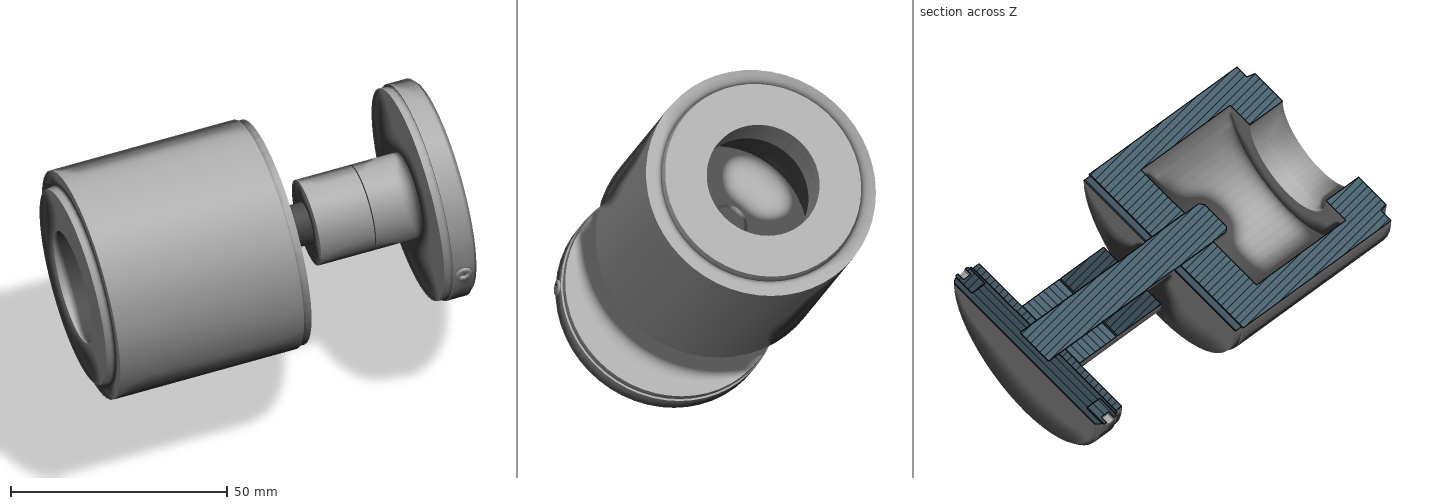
import cadquery as cq


length = 90.0
flange_thickness = 6.0
gasket_thickness = 2.0
collar_length = 2.0
drum_length = 45.0
rear_bushing_length = 11.3
bushing_gap = 0.3
front_bushing_length = 13.2

drum_diameter = 55.0
flange_diameter = 52.0
gasket_inset = 0.495
collar_base_diameter = 48.0
collar_tip_diameter = 46.9
bushing_diameter = 20.5
rod_diameter = 10.0

mouth_diameter = 27.0
mouth_depth = 10.0
cavity_diameter = 41.0
floor_thickness = 10.0

flange_chamfer = 1.0
rod_chamfer = 1.0
rod_overhang = 5.0
rod_seat_depth = 3.0
screw_diameter = 3.9
screw_length = 6.0
screw_sides = (-1, 1)
screw_overhang = 0.5
screw_chamfer = 0.225
socket_diameter = 2.3
socket_turn = -15
socket_sides = 6
socket_depth = 2.0

drum_front = collar_length
drum_back = drum_front + drum_length
cavity_back = drum_back - floor_thickness
flange_front = length - flange_thickness
flange_gasket_front = flange_front - gasket_thickness
rear_bushing_front = flange_gasket_front - rear_bushing_length
front_bushing_back = rear_bushing_front - bushing_gap
rod_front = cavity_back - rod_overhang
rod_back = flange_front + rod_seat_depth
screw_y = flange_front + (flange_thickness - flange_chamfer) / 2


def cylinder(diameter, start, end):
    """Cylinder about the Y axis from y = start to y = end."""
    return cq.Workplane("XZ", origin=(0, start, 0)).circle(diameter / 2).extrude(start - end)


def sleeve(diameter, start, thickness):
    """Disc or bushing with a hole that fits the rod."""
    end = start + thickness
    return cylinder(diameter, start, end).cut(cylinder(rod_diameter, start, end))


def make_drum():
    """Knob with a tapered front collar, an undercut cavity and a hole for the rod in its floor."""
    outline = [
        (0, 0),
        (collar_tip_diameter / 2, 0),
        (collar_base_diameter / 2, drum_front),
        (drum_diameter / 2, drum_front),
        (drum_diameter / 2, drum_back),
        (0, drum_back),
    ]
    drum = cq.Workplane("XY").polyline(outline).close().revolve(360, (0, 0, 0), (0, 1, 0))
    mouth = cylinder(mouth_diameter, 0, mouth_depth)
    cavity = cylinder(cavity_diameter, mouth_depth, cavity_back)
    rod_hole = cylinder(rod_diameter, cavity_back, drum_back)
    return drum.cut(mouth).cut(cavity).cut(rod_hole)


def make_rod():
    """Rod from the flange to the knob's cavity, chamfered at its free end."""
    return cylinder(rod_diameter, rod_front, rod_back).faces("<Y").chamfer(rod_chamfer)


def screw_blank(side):
    """Plain set screw body along X; side is -1 or +1."""
    tip_x = side * (flange_diameter / 2 + screw_overhang - screw_length)
    return (
        cq.Workplane("YZ", origin=(tip_x, screw_y, 0))
        .circle(screw_diameter / 2)
        .extrude(side * screw_length)
    )


def make_screw(side):
    """Set screw with a chamfered outer end and a hexagon socket in it."""
    head_x = side * (flange_diameter / 2 + screw_overhang)
    socket = (
        cq.Workplane("YZ", origin=(head_x, screw_y, 0))
        .transformed(rotate=(0, 0, socket_turn))
        .polygon(socket_sides, socket_diameter)
        .extrude(-side * socket_depth)
    )
    outer_end = ">X" if side > 0 else "<X"
    return screw_blank(side).faces(outer_end).chamfer(screw_chamfer).cut(socket)


def make_flange():
    """Disc with a chamfered back edge, a blind rod seat and two radial screw holes."""
    flange = cylinder(flange_diameter, flange_front, length).faces(">Y").chamfer(flange_chamfer)
    flange = flange.cut(cylinder(rod_diameter, flange_front, rod_back))
    for side in screw_sides:
        flange = flange.cut(screw_blank(side))
    return flange


drum = make_drum()
drum_gasket = sleeve(drum_diameter - 2 * gasket_inset, drum_back, gasket_thickness)
front_bushing = sleeve(bushing_diameter, front_bushing_back - front_bushing_length, front_bushing_length)
rear_bushing = sleeve(bushing_diameter, rear_bushing_front, rear_bushing_length)
flange_gasket = sleeve(flange_diameter - 2 * gasket_inset, flange_gasket_front, gasket_thickness)
flange = make_flange()
rod = make_rod()
screws = [make_screw(side) for side in screw_sides]

result = cq.Compound.makeCompound(
    [
        drum.val(),
        drum_gasket.val(),
        front_bushing.val(),
        rear_bushing.val(),
        flange_gasket.val(),
        flange.val(),
        rod.val(),
        *[screw.val() for screw in screws],
    ]
)